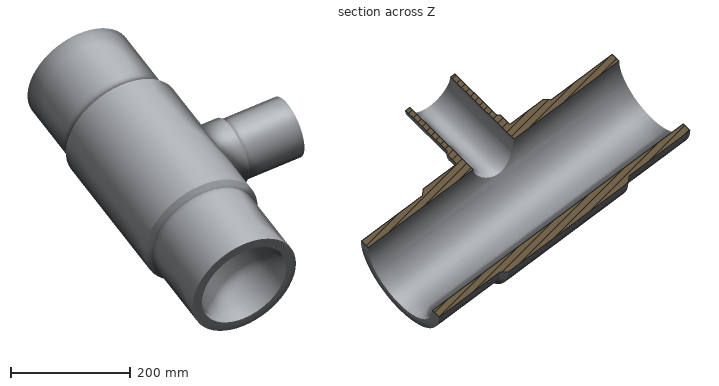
import cadquery as cq

run_length = 560.0
run_diameter = 200.0
run_bore = 163.5

body_length = 288.0
body_diameter = 218.5
body_chamfer_length = 10.0
body_chamfer_height = (body_diameter - run_diameter) / 2

branch_reach = 245.0
branch_diameter = 110.5
wall_ratio = run_bore / run_diameter
branch_bore = branch_diameter * wall_ratio
collar_reach = 138.5
collar_diameter = 120.0
collar_chamfer_length = 5.0
collar_chamfer_height = (collar_diameter - branch_diameter) / 2


def run_cylinder(diameter, length):
    """Cylinder along X, centred on the origin."""
    return cq.Workplane("YZ").circle(diameter / 2).extrude(length / 2, both=True)


def branch_cylinder(diameter, reach):
    """Cylinder along +Y, starting on the run axis."""
    return cq.Workplane("XZ").circle(diameter / 2).extrude(-reach)


def make_body():
    """Body with a sloped shoulder down to the run pipe at each end."""
    half_length = body_length / 2
    flat_half_length = half_length - body_chamfer_length
    outer_radius = body_diameter / 2
    shoulder_radius = outer_radius - body_chamfer_height
    profile = cq.Workplane("XY").polyline([
        (-half_length, 0),
        (-half_length, shoulder_radius),
        (-flat_half_length, outer_radius),
        (flat_half_length, outer_radius),
        (half_length, shoulder_radius),
        (half_length, 0),
    ]).close()
    return profile.revolve(360, (0, 0, 0), (1, 0, 0))


def make_collar():
    """Branch collar with a sloped end down to the branch pipe."""
    outer_radius = collar_diameter / 2
    profile = cq.Workplane("XY").polyline([
        (0, 0),
        (outer_radius, 0),
        (outer_radius, collar_reach - collar_chamfer_length),
        (outer_radius - collar_chamfer_height, collar_reach),
        (0, collar_reach),
    ]).close()
    return profile.revolve(360, (0, 0, 0), (0, 1, 0))


outside = (
    run_cylinder(run_diameter, run_length)
    .union(make_body())
    .union(branch_cylinder(branch_diameter, branch_reach))
    .union(make_collar())
)

result = (
    outside
    .cut(run_cylinder(run_bore, run_length))
    .cut(branch_cylinder(branch_bore, branch_reach))
)